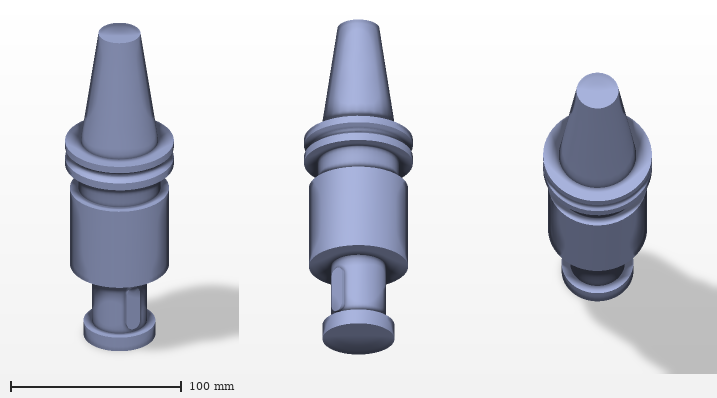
import cadquery as cq
import math

total_height = 201.5
collar_top = 9.0
body_bottom = 47.0
body_top = 97.9
flange_bottom = 113.8
flange_top = 129.5

collar_diameter = 42.0
pilot_diameter = 32.0
body_diameter = 58.0
neck_diameter = 48.0
flange_diameter = 63.6
taper_large_diameter = 45.3
taper_small_diameter = 24.5

groove_diameter = 56.2
groove_bottom = 118.5
groove_floor_bottom = 121.0
groove_floor_top = 123.0
groove_top = 125.3
groove_fillet = 1.0
edge_margin = 0.2

neck_fillet = 0.5

key_width = 8.5
key_bottom = 12.0
key_top = 39.9
key_outer_x = 18.1
key_inner_x = 12.0


def cylinder(diameter, bottom, top):
    return cq.Workplane("XY").workplane(offset=bottom).circle(diameter / 2).extrude(top - bottom)


def make_flange():
    outer_radius = flange_diameter / 2
    groove_radius = groove_diameter / 2
    profile = (
        cq.Workplane("XZ")
        .moveTo(0, flange_bottom)
        .lineTo(outer_radius, flange_bottom)
        .lineTo(outer_radius, groove_bottom)
        .lineTo(groove_radius, groove_floor_bottom)
        .lineTo(groove_radius, groove_floor_top)
        .lineTo(outer_radius, groove_top)
        .lineTo(outer_radius, flange_top)
        .lineTo(0, flange_top)
        .close()
    )
    flange = profile.revolve(360, (0, 0, 0), (0, 1, 0))
    floor_edges = cq.selectors.BoxSelector(
        (-outer_radius, -outer_radius, groove_bottom + edge_margin),
        (outer_radius, outer_radius, groove_top - edge_margin),
        boundingbox=True,
    )
    return flange.edges("%CIRCLE").edges(floor_edges).fillet(groove_fillet)


def make_neck():
    neck_radius = neck_diameter / 2
    root_radius = neck_radius + neck_fillet
    arc_offset = neck_fillet * (1 - math.sqrt(0.5))
    profile = (
        cq.Workplane("XZ")
        .moveTo(0, body_top)
        .lineTo(root_radius, body_top)
        .threePointArc((neck_radius + arc_offset, body_top + arc_offset), (neck_radius, body_top + neck_fillet))
        .lineTo(neck_radius, flange_bottom - neck_fillet)
        .threePointArc((neck_radius + arc_offset, flange_bottom - arc_offset), (root_radius, flange_bottom))
        .lineTo(0, flange_bottom)
        .close()
    )
    return profile.revolve(360, (0, 0, 0), (0, 1, 0))


def make_taper():
    return (
        cq.Workplane("XY")
        .workplane(offset=flange_top)
        .circle(taper_large_diameter / 2)
        .workplane(offset=total_height - flange_top)
        .circle(taper_small_diameter / 2)
        .loft(ruled=True)
    )


def make_key():
    return (
        cq.Workplane("YZ")
        .workplane(offset=key_inner_x)
        .center(0, (key_bottom + key_top) / 2)
        .slot2D(key_top - key_bottom, key_width, 90)
        .extrude(key_outer_x - key_inner_x)
    )


result = (
    cylinder(collar_diameter, 0, collar_top)
    .union(cylinder(pilot_diameter, collar_top, body_bottom))
    .union(cylinder(body_diameter, body_bottom, body_top))
    .union(make_neck())
    .union(make_flange())
    .union(make_taper())
    .union(make_key())
)